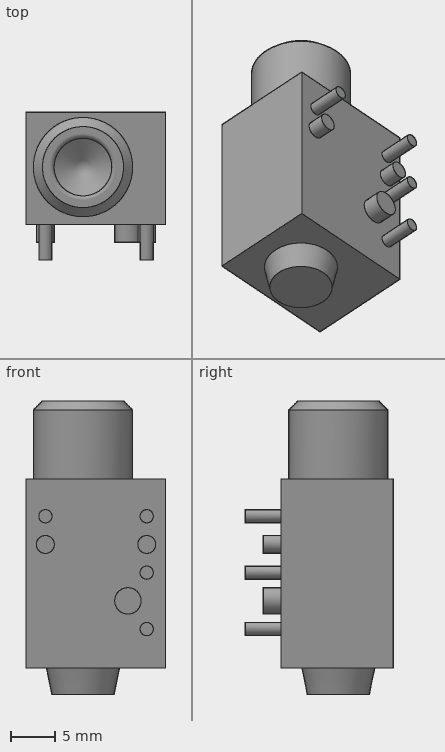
import cadquery as cq
import math

BODY_WIDTH = 15.75
BODY_DEPTH = 12.7
BODY_HEIGHT = 21.35

AXIS_X = 6.43
AXIS_Y = 6.5

BARREL_DIAMETER = 11.2
BARREL_HEIGHT = 8.82
BARREL_CHAMFER = 1.03

BORE_DIAMETER = 6.5
BORE_DEPTH = 24.85
BORE_LIP_RADIUS = 0.5
DRILL_POINT_ANGLE = 118

TAIL_TOP_DIAMETER = 8.25
TAIL_END_DIAMETER = 7.03
TAIL_HEIGHT = 33.15 - BODY_HEIGHT - BARREL_HEIGHT

PIN_DIAMETER = 1.5
PIN_LENGTH = 4.0
PEG_DIAMETER = 2.02
LARGE_PEG_DIAMETER = 3.0
PEG_LENGTH = 2.0
LEFT_COLUMN_X = 2.2
RIGHT_COLUMN_X = 13.62
LARGE_PEG_X = 11.5
LOWEST_ROW_Z = 4.4
ROW_PITCH = 3.18


def row_z(row):
    """Height of a terminal row, counted up from the lowest."""
    return LOWEST_ROW_Z + row * ROW_PITCH


def front_rod(x, z, diameter, length):
    """Round rod standing out of the front face towards -Y."""
    return cq.Workplane("XZ", origin=(x, 0, z)).circle(diameter / 2).extrude(length)


def axis_plane(z):
    """Horizontal plane centred on the barrel axis."""
    return cq.Workplane("XY", origin=(AXIS_X, AXIS_Y, z))


def make_barrel():
    barrel = axis_plane(BODY_HEIGHT).circle(BARREL_DIAMETER / 2).extrude(BARREL_HEIGHT)
    return barrel.faces(">Z").chamfer(BARREL_CHAMFER)


def make_tail():
    top_radius = TAIL_TOP_DIAMETER / 2
    end_radius = TAIL_END_DIAMETER / 2
    return (
        cq.Workplane("XZ", origin=(AXIS_X, AXIS_Y, 0))
        .polyline([(0, 0), (top_radius, 0), (end_radius, -TAIL_HEIGHT), (0, -TAIL_HEIGHT)])
        .close()
        .revolve(360, (0, 0), (0, 1))
    )


def make_bore():
    """Solid of revolution with the rounded mouth and conical bottom of the bore."""
    radius = BORE_DIAMETER / 2
    mouth_z = BODY_HEIGHT + BARREL_HEIGHT
    floor_z = mouth_z - BORE_DEPTH
    point_z = floor_z - radius / math.tan(math.radians(DRILL_POINT_ANGLE / 2))
    return (
        cq.Workplane("XZ", origin=(AXIS_X, AXIS_Y, 0))
        .moveTo(0, point_z)
        .lineTo(radius, floor_z)
        .lineTo(radius, mouth_z - BORE_LIP_RADIUS)
        .radiusArc((radius + BORE_LIP_RADIUS, mouth_z), BORE_LIP_RADIUS)
        .lineTo(0, mouth_z)
        .close()
        .revolve(360, (0, 0), (0, 1))
    )


body = cq.Workplane("XY").box(BODY_WIDTH, BODY_DEPTH, BODY_HEIGHT, centered=False)
result = body.union(make_barrel()).union(make_tail()).cut(make_bore())

for pin_x, row in [(LEFT_COLUMN_X, 4), (RIGHT_COLUMN_X, 4), (RIGHT_COLUMN_X, 2), (RIGHT_COLUMN_X, 0)]:
    result = result.union(front_rod(pin_x, row_z(row), PIN_DIAMETER, PIN_LENGTH))

for peg_x in (LEFT_COLUMN_X, RIGHT_COLUMN_X):
    result = result.union(front_rod(peg_x, row_z(3), PEG_DIAMETER, PEG_LENGTH))

result = result.union(front_rod(LARGE_PEG_X, row_z(1), LARGE_PEG_DIAMETER, PEG_LENGTH))